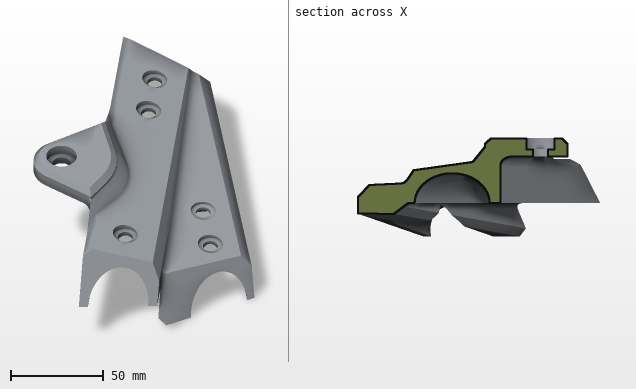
import cadquery as cq
import math

BEAM_START = cq.Vector(0, 125.8, 0)
BEAM_END = cq.Vector(168.6, 0, 0)
BEAM_WIDTH = 42.0
FRONT_HEIGHT = 21.0
RIDGE_OFFSET = 4.6
RIDGE_HEIGHT = 23.8
BACK_OFFSET = 37.7
BACK_HEIGHT = 18.0
BACK_WALL_HEIGHT = 10.2
TUBE_RADIUS = 16.2

WING_START = cq.Vector(46.7, 149.6, 0.8)
WING_END = cq.Vector(192.3, 95.8, -17.9)
WING_TUBE_OFFSET = 20.4
WING_TUBE_START = 92.3
WING_CHAMFER = 2.6
WING_CHAMFER_DROP = 3
WING_CORNER = cq.Vector(179.5, 94.8, 3.3)
WING_INNER_CORNER = cq.Vector(173.8, 49.5, 6.0)
WING_ROOT_CORNER = cq.Vector(53.3, 140.4, 13.7)
WALL_OFFSET = BEAM_WIDTH
WALL_FILLET = 3.0
VALLEY_FILLET = 3.8
VALLEY_LEVEL = 2
WALL_CHAMFER = 4.0
WALL_CHAMFER_HEIGHT = 4.0

LEFT_EDGE = cq.Vector(1.7, 0.84, 0)
LEFT_FACE_POINT = cq.Vector(13.5, 116.3, FRONT_HEIGHT)
RIGHT_EDGE = cq.Vector(0.917, 1.69, 0)
RIGHT_FACE_POINT = cq.Vector(154.5, 11.0, FRONT_HEIGHT)
WING_EDGE = cq.Vector(4.8, 55.4, 0)

TAB_X, TAB_Y = 92.7, 32.5
TAB_RADIUS = 15.2
TAB_BACK_RADIUS = 29.8
TAB_SIDE_ANGLE = -64
TAB_BACK_ANGLE = 73.5
TAB_BOTTOM = 25.2
TAB_TOP = 35.2
TAB_CHAMFER = 3.0
TAB_FILLET = 5.0
TAB_FRONT_FILLET_TOP = 30.5
TAB_ROOT_Z = 7.7
FOOT_FILLET = 1.7
FOOT_SLOPE_TOP = 30.5
FOOT_TAPER = 38
FOOT_MARGIN = 15.4
FOOT_OVERRUN = 23
FOOT_EXTENSION = 38.5

BOLT_RADIUS = 4.0
BOLT_HEAD_RADIUS = 6.7
BOLT_HOLES = [
    (50.8, 114.2, 18.7),
    (70.4, 99.2, 18.7),
    (150.2, 39.5, 18.7),
    (142.0, 92.5, 6.0),
    (165.0, 83.8, 3.7),
]
TAB_HOLE_RADIUS = 5.2
TAB_HEAD_RADIUS = 8.3
TAB_HEAD_DEPTH = 5.8

FAR = 384.6
TOUCH = 0.0002
UP = cq.Vector(0, 0, 1)
BEAM_AXIS = (BEAM_END - BEAM_START).normalized()
BEAM_NORMAL = UP.cross(BEAM_AXIS)
BEAM_LENGTH = (BEAM_END - BEAM_START).Length
WING_AXIS = (WING_END - WING_START).normalized()
WING_INWARD = WING_AXIS.cross(UP).normalized()


def trim(body, point, normal):
    """Remove everything beyond the plane through point, on the normal's side."""
    plane = cq.Plane(origin=point.toTuple(), normal=normal.toTuple())
    return body.cut(cq.Workplane(plane).rect(2 * FAR, 2 * FAR).extrude(FAR))


def trim_three(body, first, second, third):
    """Remove the side from which the three points appear anticlockwise."""
    return trim(body, first, (second - first).cross(third - first))


def beam_prism(points, overrun=FAR / 4):
    """Prism along the main clamp; points are (offset from front face, height)."""
    origin = BEAM_START - BEAM_AXIS * overrun
    plane = cq.Plane(origin.toTuple(), xDir=BEAM_NORMAL.toTuple(), normal=BEAM_AXIS.toTuple())
    return cq.Workplane(plane).polyline(points).close().extrude(BEAM_LENGTH + 2 * overrun)


def rod(start, axis, radius, length):
    return cq.Workplane(obj=cq.Solid.makeCylinder(radius, length, start, axis))


def main_clamp():
    body = beam_prism([
        (0, 0),
        (0, FRONT_HEIGHT),
        (RIDGE_OFFSET, RIDGE_HEIGHT),
        (BACK_OFFSET, BACK_HEIGHT),
        (BEAM_WIDTH, BACK_WALL_HEIGHT),
        (BEAM_WIDTH, 0),
    ])
    return trim_three(body, BEAM_END, BEAM_END + RIGHT_EDGE, RIGHT_FACE_POINT)


def wing_clamp():
    body = cq.Workplane().box(FAR, FAR, FAR / 2)
    body = trim(body, WING_START, -WING_INWARD)
    body = trim_three(body, WING_END, WING_START, WING_END + WING_EDGE)
    body = trim_three(body, WING_CORNER, WING_ROOT_CORNER, WING_INNER_CORNER)
    band_direction = WING_CORNER - WING_ROOT_CORNER
    band_slope = WING_INWARD * WING_CHAMFER + UP * WING_CHAMFER_DROP
    body = trim(body, WING_CORNER, band_slope.cross(band_direction))
    body = trim_three(body, WING_END, WING_END + WING_EDGE, WING_CORNER)

    wall_root = WALL_OFFSET - WALL_FILLET
    origin = BEAM_START - BEAM_AXIS * FAR
    plane = cq.Plane(origin.toTuple(), xDir=BEAM_NORMAL.toTuple(), normal=BEAM_AXIS.toTuple())
    arc_step = WALL_FILLET * math.sqrt(0.5)
    keep = (
        cq.Workplane(plane).moveTo(wall_root, FAR).lineTo(wall_root, 0)
        .threePointArc(
            (wall_root + arc_step, arc_step - WALL_FILLET),
            (WALL_OFFSET, -WALL_FILLET),
        )
        .lineTo(WALL_OFFSET, -FAR).lineTo(FAR, -FAR).lineTo(FAR, FAR).close()
        .extrude(2 * FAR)
    )
    body = body.intersect(keep)

    floor_normal = (WING_START - WING_END).cross(WING_EDGE)
    wall_end_xy = BEAM_START + BEAM_NORMAL * WALL_OFFSET
    drop = (wall_end_xy - WING_END).dot(floor_normal) / floor_normal.z
    wall_foot = wall_end_xy - UP * drop
    foot_direction = BEAM_AXIS - UP * (BEAM_AXIS.dot(floor_normal) / floor_normal.z)
    slope = UP * WALL_CHAMFER_HEIGHT - BEAM_NORMAL * WALL_CHAMFER
    above = trim(body, BEAM_START, -UP)
    below = trim(body, BEAM_START, UP)
    chamfer_start = wall_foot + UP * WALL_CHAMFER_HEIGHT
    return above.union(trim(below, chamfer_start, foot_direction.cross(slope)))


def tube_grooves(body):
    start = BEAM_START + BEAM_NORMAL * (BEAM_WIDTH / 2) - BEAM_AXIS * FAR
    body = body.cut(rod(start, BEAM_AXIS, TUBE_RADIUS, 2 * FAR))
    start = WING_START + WING_INWARD * WING_TUBE_OFFSET + WING_AXIS * WING_TUBE_START
    return body.cut(rod(start, WING_AXIS, TUBE_RADIUS, FAR))


def around_tab(radius, angle):
    turn = math.radians(angle)
    return TAB_X + radius * math.cos(turn), TAB_Y + radius * math.sin(turn)


def tab_profile(level, extension=0):
    """Rounded tab whose straight sides are tangent to its two concentric arcs.

    The extension moves the sides apart and so lengthens the straight back edges.
    """
    side_turn = math.radians(TAB_SIDE_ANGLE)
    side_distance = TAB_RADIUS + extension
    nose = around_tab(side_distance, TAB_SIDE_ANGLE)
    right = (
        nose[0] - TAB_BACK_RADIUS * math.sin(side_turn),
        nose[1] + TAB_BACK_RADIUS * math.cos(side_turn),
    )
    right_angle = TAB_SIDE_ANGLE + 90
    nose_middle = (TAB_SIDE_ANGLE - 180) / 2
    back_turn = math.radians(TAB_BACK_ANGLE)
    left_x = TAB_X - side_distance
    left_y = TAB_Y + (TAB_BACK_RADIUS + side_distance * math.cos(back_turn)) / math.sin(back_turn)
    return (
        cq.Workplane().workplane(offset=level).moveTo(left_x, TAB_Y)
        .threePointArc(around_tab(side_distance, nose_middle), nose)
        .lineTo(*right)
        .lineTo(*around_tab(TAB_BACK_RADIUS, right_angle))
        .threePointArc(
            around_tab(TAB_BACK_RADIUS, (right_angle + TAB_BACK_ANGLE) / 2),
            around_tab(TAB_BACK_RADIUS, TAB_BACK_ANGLE),
        )
        .lineTo(left_x, left_y).close()
    )


def tab_plate(bottom):
    return tab_profile(bottom).extrude(TAB_TOP - bottom)


def tab_foot():
    """Back wall of the tab and the slope leading from it to the top and ridge of the main clamp."""
    ridge_slope = (RIDGE_HEIGHT - FRONT_HEIGHT) / RIDGE_OFFSET
    slab = beam_prism([
        (-FOOT_OVERRUN, 0),
        (-FOOT_OVERRUN, FRONT_HEIGHT - ridge_slope * FOOT_OVERRUN),
        (RIDGE_OFFSET, RIDGE_HEIGHT),
        (BACK_OFFSET, BACK_HEIGHT),
        (BACK_OFFSET, 0),
    ])
    cone = tab_profile(FOOT_SLOPE_TOP, FOOT_EXTENSION).extrude(-FOOT_SLOPE_TOP, taper=-FOOT_TAPER)
    foot = fillet_junction(slab.union(cone), cone, slab, FOOT_FILLET)
    surroundings = tab_profile(0, FOOT_EXTENSION).offset2D(FOOT_MARGIN).extrude(TAB_TOP)
    foot = trim(foot.intersect(surroundings), BEAM_START, -BEAM_NORMAL)
    return foot.union(trim(tab_plate(TAB_ROOT_Z), BEAM_START, -BEAM_NORMAL))


def fillet_junction(joined, tool, base, radius):
    """Round the new edges where tool stands on base."""
    tool_shape = tool.val()
    base_shape = base.val()
    edges = [
        edge for edge in joined.edges().vals()
        if edge.positionAt(0.5).z < TAB_TOP - TOUCH
        and lies_on(edge, tool_shape)
        and lies_on(edge, base_shape)
    ]
    return joined.newObject(edges).fillet(radius)


def lies_on(edge, shape):
    middle = cq.Vertex.makeVertex(*edge.positionAt(0.5).toTuple())
    return any(face.distance(middle) < TOUCH for face in shape.Faces())


def overhanging_tab():
    """Tab filleted below and at its sides onto the front face."""
    wall = beam_prism([
        (0, TAB_ROOT_Z),
        (0, TAB_TOP),
        (RIDGE_OFFSET, TAB_TOP),
        (RIDGE_OFFSET, TAB_ROOT_Z),
    ])
    plate = tab_plate(TAB_BOTTOM)
    plate = trim(plate, BEAM_START + BEAM_NORMAL * RIDGE_OFFSET, BEAM_NORMAL)
    joint = fillet_junction(wall.union(plate), plate, wall, TAB_FILLET)
    joint = trim(joint, BEAM_START, BEAM_NORMAL)
    below = trim(joint, UP * TAB_FRONT_FILLET_TOP, UP)
    return below.union(trim(tab_plate(TAB_BOTTOM), BEAM_START, BEAM_NORMAL))


def tab():
    """Complete tab with its upper edge chamfered all round."""
    body = tab_foot().union(overhanging_tab())
    top = tab_plate(TAB_BOTTOM).faces(">Z").chamfer(TAB_CHAMFER)
    return trim(body, UP * (TAB_TOP - TAB_CHAMFER), UP).union(top)


def drill(body, x, y, floor, radius, head_radius):
    """Through hole with a counterbore open above its floor."""
    body = body.cut(rod(cq.Vector(x, y, -FAR), UP, radius, 2 * FAR))
    return body.cut(rod(cq.Vector(x, y, floor), UP, head_radius, FAR))


def clamp_body():
    """Both clamps, cut at the shared left end and rounded along the valley between them."""
    ends = (BEAM_START, LEFT_FACE_POINT, BEAM_START + LEFT_EDGE)
    main = trim_three(main_clamp(), *ends)
    wing = trim_three(wing_clamp(), *ends)
    above = trim(wing, UP * VALLEY_LEVEL, -UP)
    return fillet_junction(main.union(wing), above, main, VALLEY_FILLET)


result = clamp_body()
result = tube_grooves(result.union(tab()))
for hole_x, hole_y, head_floor in BOLT_HOLES:
    result = drill(result, hole_x, hole_y, head_floor, BOLT_RADIUS, BOLT_HEAD_RADIUS)
result = drill(result, TAB_X, TAB_Y, TAB_TOP - TAB_HEAD_DEPTH, TAB_HOLE_RADIUS, TAB_HEAD_RADIUS)